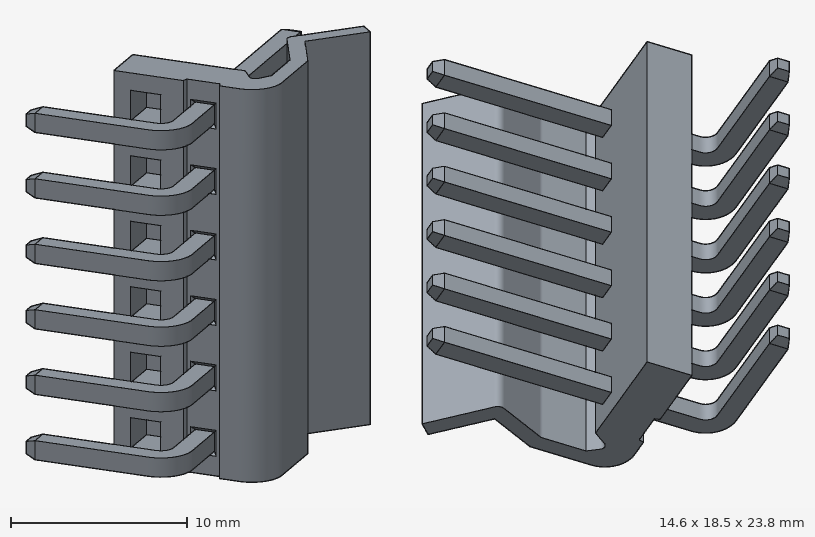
import cadquery as cq
import math


height = 23.75
pin_count = 6
pitch = height / pin_count
block_left = -5.37
block_depth = 2.8

trough_depth = 0.3
trough_mouth = 2.2
trough_floor = 2.05

arm_right = 4.18
arm_thickness = 1.0
arm_corner_radius = 1.85
kink_y = 5.65
lean_angle = math.radians(64.5)
elbow_y = 8.5
flare_angle = math.radians(45)
flare_length = 4.02
kink_radius = 0.4
elbow_radius = 0.48

groove_left = 1.52
groove_bottom_x = 2.42
groove_bottom_y = 1.6
groove_right_y = 2.64
groove_radius = 0.33

pin_width = 1.16
pin_back = 13.88
tail_front = -4.65
tail_end = -8.9
bend_inner_radius = 0.75
taper_length = 0.65
taper_tip_width = 0.74

pocket_x = -3.42
pocket_size = 1.85
pocket_depth = 2.38
funnel_width = 1.57


def crossing(point_a, angle_a, point_b, angle_b):
    """Point where two lines meet, each given by a point and a direction angle."""
    dx = point_b[0] - point_a[0]
    dy = point_b[1] - point_a[1]
    turn = math.sin(angle_b - angle_a)
    along = (dx * math.sin(angle_b) - dy * math.cos(angle_b)) / turn
    return (point_a[0] + along * math.cos(angle_a), point_a[1] + along * math.sin(angle_a))


def shifted(point, angle, distance):
    """Point moved sideways, to the left of the given direction."""
    return (point[0] - distance * math.sin(angle), point[1] + distance * math.cos(angle))


def housing():
    """Block and lock arm, extruded along Z from one outline."""
    upright = math.pi / 2
    lean = math.pi - lean_angle

    outer_kink = (arm_right, kink_y)
    outer_elbow = (arm_right - (elbow_y - kink_y) / math.tan(lean_angle), elbow_y)
    outer_tip = (
        outer_elbow[0] + flare_length * math.cos(flare_angle),
        outer_elbow[1] + flare_length * math.sin(flare_angle),
    )

    inner_tip = shifted(outer_tip, flare_angle, arm_thickness)
    lean_point = shifted(outer_elbow, lean, arm_thickness)
    inner_elbow = crossing(lean_point, lean, inner_tip, flare_angle)
    inner_x = arm_right - arm_thickness
    inner_kink = crossing(lean_point, lean, (inner_x, 0), upright)

    body = (
        cq.Workplane("XY")
        .moveTo(block_left, 0)
        .lineTo(arm_right, 0)
        .lineTo(*outer_kink)
        .lineTo(*outer_elbow)
        .lineTo(*outer_tip)
        .lineTo(*inner_tip)
        .lineTo(*inner_elbow)
        .lineTo(*inner_kink)
        .lineTo(inner_x, groove_right_y)
        .lineTo(groove_bottom_x, groove_bottom_y)
        .lineTo(groove_left, block_depth)
        .lineTo(block_left, block_depth)
        .close()
        .extrude(height)
    )
    rounded_corners = [
        ((arm_right, 0), arm_corner_radius),
        (inner_elbow, elbow_radius),
        (inner_kink, kink_radius),
        ((groove_bottom_x, groove_bottom_y), groove_radius),
    ]
    for (x, y), radius in rounded_corners:
        corner = cq.selectors.NearestToPointSelector((x, y, height / 2))
        body = body.edges("|Z").edges(corner).fillet(radius)
    return body


def trough():
    """Trough with slightly sloping sides."""
    return (
        cq.Workplane("XY")
        .moveTo(-trough_mouth / 2, 0)
        .lineTo(trough_mouth / 2, 0)
        .lineTo(trough_floor / 2, trough_depth)
        .lineTo(-trough_floor / 2, trough_depth)
        .close()
        .extrude(height)
    )


def square_frustum(start, direction, start_width, end_width, length):
    """Four-sided taper running from start along direction."""
    plane = cq.Plane(origin=start, xDir=(0, 0, 1), normal=direction)
    return (
        cq.Workplane(plane)
        .rect(start_width, start_width)
        .workplane(offset=length)
        .rect(end_width, end_width)
        .loft(ruled=True)
    )


def pocket(z):
    """Blind square pocket beside a pin."""
    return cq.Workplane("XY").box(pocket_size, pocket_depth, pocket_size).translate(
        (pocket_x, pocket_depth / 2, z)
    )


def funnel(z):
    """Square lead-in around a pin, sunk into the trough floor at 45 degrees."""
    depth = (funnel_width - pin_width) / 2
    return square_frustum((0, trough_depth, z), (0, 1, 0), funnel_width, pin_width, depth)


def pin(z):
    """Square pin bent towards -X, with both ends tapered."""
    half = pin_width / 2
    straight_back = pin_back - taper_length
    straight_end = tail_end + taper_length
    bend_outer_radius = bend_inner_radius + pin_width
    bend_x = -half - bend_inner_radius
    bend_y = tail_front + bend_outer_radius
    bar = (
        cq.Workplane("XY", origin=(0, 0, z - half))
        .moveTo(half, straight_back)
        .lineTo(half, bend_y)
        .radiusArc((bend_x, tail_front), bend_outer_radius)
        .lineTo(straight_end, tail_front)
        .lineTo(straight_end, tail_front + pin_width)
        .lineTo(bend_x, tail_front + pin_width)
        .radiusArc((-half, bend_y), -bend_inner_radius)
        .lineTo(-half, straight_back)
        .close()
        .extrude(pin_width)
    )
    back_tip = square_frustum((0, straight_back, z), (0, 1, 0), pin_width, taper_tip_width, taper_length)
    tail_start = (straight_end, tail_front + half, z)
    tail_tip = square_frustum(tail_start, (-1, 0, 0), pin_width, taper_tip_width, taper_length)
    return bar.union(back_tip).union(tail_tip)


result = housing().cut(trough())
pin_heights = [(index + 0.5) * pitch for index in range(pin_count)]
for z in pin_heights:
    result = result.cut(pocket(z)).cut(funnel(z))
for z in pin_heights:
    result = result.union(pin(z))